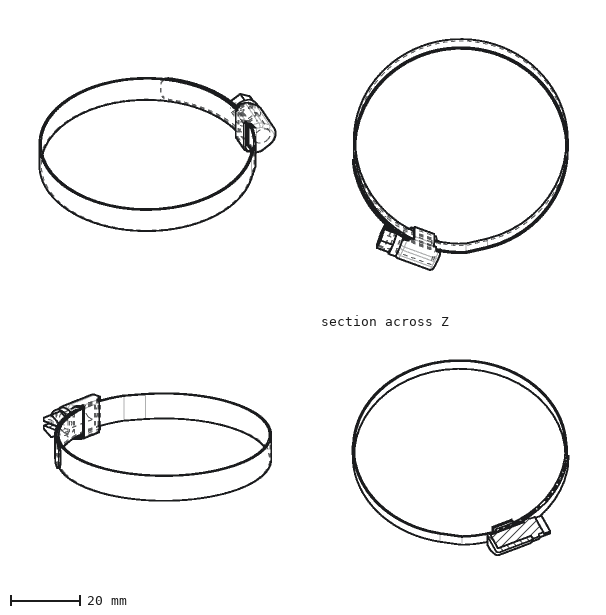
import cadquery as cq
import math


OVERALL_DEPTH = 69.45

LOOP_RADIUS = 31.05
BAND_THICKNESS = 0.52
BAND_WIDTH = 7.8
LAP_GAP = 0.035
TAIL_ANGLE = 150.0
TAIL_CORNER_RADIUS = 2.65
JOGGLE_TOP_ANGLE = 66.4
JOGGLE_FOOT_ANGLE = 54.6
ANCHOR_ANGLE = 85.0

HOUSING_LENGTH = 11.7
HOUSING_WIDTH = 10.4
ROOF_RADIUS = 4.2
ROOF_SLOPE = 31.6
SHOULDER_RADIUS = 2.2
END_RADIUS = 1.0
SADDLE_BOTTOM = 29.25
SADDLE_THICKNESS = 0.6
SADDLE_LENGTH = 6.1
SADDLE_EDGE_RADIUS = 0.7
LEG_THICKNESS = 0.5
LEG_BOTTOM = 29.95
LEG_BOTTOM_LENGTH = 7.8
LEG_TOP_LENGTH = 8.9
BAND_SLOT_HEIGHT = 1.1

SCREW_Y = OVERALL_DEPTH - LOOP_RADIUS - ROOF_RADIUS
HEX_FLATS = 6.1
HEX_SIDES = 6
HEX_LENGTH = 3.75
COLLAR_RADIUS = 3.9
COLLAR_LENGTH = 2.1
SHANK_RADIUS = 2.5
SHANK_LENGTH = 10.55
DRIVE_SLOT_WIDTH = 1.4
DRIVE_SLOT_DEPTH = 2.1

loop_inner_radius = LOOP_RADIUS - BAND_THICKNESS
lap_inner_radius = LOOP_RADIUS + LAP_GAP
lap_radius = lap_inner_radius + BAND_THICKNESS
saddle_top = SADDLE_BOTTOM + SADDLE_THICKNESS
block_bottom = saddle_top + BAND_SLOT_HEIGHT
housing_end_x = -HOUSING_LENGTH / 2


def polar(radius, degrees):
    angle = math.radians(degrees)
    return (radius * math.cos(angle), radius * math.sin(angle))


def arc_to(outline, radius, start, end):
    """Continue an outline along a circle about the origin between two angles."""
    return outline.threePointArc(polar(radius, (start + end) / 2), polar(radius, end))


def make_band():
    outline = cq.Workplane("XY").moveTo(*polar(lap_radius, TAIL_ANGLE))
    outline = arc_to(outline, lap_radius, TAIL_ANGLE, JOGGLE_TOP_ANGLE)
    outline = outline.lineTo(*polar(LOOP_RADIUS, JOGGLE_FOOT_ANGLE))
    outline = arc_to(outline, LOOP_RADIUS, JOGGLE_FOOT_ANGLE, ANCHOR_ANGLE - 360)

    outline = outline.lineTo(*polar(loop_inner_radius, ANCHOR_ANGLE))
    outline = arc_to(outline, loop_inner_radius, ANCHOR_ANGLE - 360, JOGGLE_FOOT_ANGLE)
    outline = outline.lineTo(*polar(lap_inner_radius, JOGGLE_TOP_ANGLE))
    outline = arc_to(outline, lap_inner_radius, JOGGLE_TOP_ANGLE, TAIL_ANGLE)
    band = outline.close().extrude(BAND_WIDTH / 2, both=True)

    tail_direction = cq.Vector(*polar(1, TAIL_ANGLE))
    tail_corners = band.edges(cq.selectors.ParallelDirSelector(tail_direction))
    return tail_corners.fillet(TAIL_CORNER_RADIUS)


def make_band_clearance():
    """Disc that fills the loop out to the outer face of the overlapping layer."""
    return cq.Workplane("XY").circle(lap_radius).extrude(BAND_WIDTH / 2, both=True)


def x_axis_plane(x):
    """Plane facing +X on the screw axis, with local x along +Y and local y along +Z."""
    return cq.Workplane(cq.Plane((x, SCREW_Y, 0), xDir=(0, 1, 0), normal=(1, 0, 0)))


def make_block():
    """Upper part of the housing: a round roof with sloping flanks and upright sides."""
    slope = math.radians(ROOF_SLOPE)
    half_width = HOUSING_WIDTH / 2
    tangent_y = ROOF_RADIUS * math.sin(slope)
    tangent_z = ROOF_RADIUS * math.cos(slope)
    shoulder_y = tangent_y - (half_width - tangent_z) / math.tan(slope)
    bottom_y = block_bottom - SCREW_Y
    block = (
        x_axis_plane(housing_end_x)
        .moveTo(bottom_y, -half_width)
        .lineTo(shoulder_y, -half_width)
        .lineTo(tangent_y, -tangent_z)
        .threePointArc((ROOF_RADIUS, 0), (tangent_y, tangent_z))
        .lineTo(shoulder_y, half_width)
        .lineTo(bottom_y, half_width)
        .close()
        .extrude(HOUSING_LENGTH)
    )
    shoulder_height = SCREW_Y + shoulder_y
    margin = 0.1
    shoulders = cq.selectors.BoxSelector(
        (housing_end_x, shoulder_height - margin, -HOUSING_WIDTH),
        (-housing_end_x, shoulder_height + margin, HOUSING_WIDTH),
    )
    block = block.edges("|X").edges(shoulders).fillet(SHOULDER_RADIUS)
    return block.faces("<X or >X").edges().fillet(END_RADIUS)


def make_housing():
    saddle_height = block_bottom - SADDLE_BOTTOM
    saddle = (
        cq.Workplane("XY")
        .box(SADDLE_LENGTH, saddle_height, HOUSING_WIDTH)
        .translate((0, SADDLE_BOTTOM + saddle_height / 2, 0))
        .edges("|X and <Y")
        .fillet(SADDLE_EDGE_RADIUS)
    )
    legs = (
        cq.Workplane("XY")
        .moveTo(-LEG_TOP_LENGTH / 2, block_bottom)
        .lineTo(-LEG_BOTTOM_LENGTH / 2, LEG_BOTTOM)
        .lineTo(LEG_BOTTOM_LENGTH / 2, LEG_BOTTOM)
        .lineTo(LEG_TOP_LENGTH / 2, block_bottom)
        .close()
        .extrude(HOUSING_WIDTH / 2, both=True)
    )
    band_slot = (
        cq.Workplane("XY")
        .box(HOUSING_LENGTH, BAND_SLOT_HEIGHT, HOUSING_WIDTH - 2 * LEG_THICKNESS)
        .translate((0, saddle_top + BAND_SLOT_HEIGHT / 2, 0))
    )
    screw_bore = x_axis_plane(housing_end_x).circle(SHANK_RADIUS).extrude(SHANK_LENGTH)
    block = make_block().cut(make_band_clearance()).cut(screw_bore)
    return saddle.union(legs).cut(band_slot).union(block)


def make_screw():
    collar_x = housing_end_x - COLLAR_LENGTH
    head_x = collar_x - HEX_LENGTH
    hex_corners = HEX_FLATS / math.cos(math.pi / HEX_SIDES)
    collar = x_axis_plane(collar_x).circle(COLLAR_RADIUS).extrude(COLLAR_LENGTH)
    collar = collar.cut(make_band_clearance())
    head = (
        x_axis_plane(head_x)
        .transformed(rotate=(0, 0, 90))
        .polygon(HEX_SIDES, hex_corners)
        .extrude(HEX_LENGTH)
    )
    drive_slot = x_axis_plane(head_x).rect(hex_corners, DRIVE_SLOT_WIDTH).extrude(DRIVE_SLOT_DEPTH)
    shank = x_axis_plane(housing_end_x).circle(SHANK_RADIUS).extrude(SHANK_LENGTH)
    return head.cut(drive_slot).union(collar).union(shank)


band = make_band()
housing = make_housing()
screw = make_screw()

result = cq.Compound.makeCompound([band.val(), housing.val(), screw.val()])